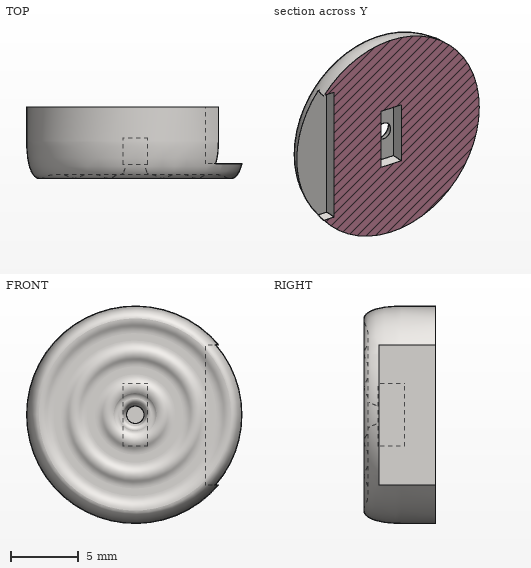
import cadquery as cq
import math

outer_radius = 8.0
body_depth = 5.27
seam_depth = 2.72

floor_depth = 0.29
floor_radius = 5.99
joint_depth = 0.14
rim_joint_radius = 6.55
rim_crest_radius = 7.07
rim_front_control = 7.38
rim_side_control = 0.5

outer_ripple = (5.44, 4.91, 4.07, 3.54)
inner_ripple = (2.95, 2.41, 1.57, 1.215)
ripple_crest_depth = 0.02

throat_radius = 0.82
throat_depth = 0.58
throat_bulge = (0.92, 0.38)
hole_radius = 0.64
hole_depth = 1.05
chamber_half_width = 0.9
chamber_half_height = 2.3
chamber_end_depth = 3.0

notch_half_height = 5.15
notch_start_depth = 1.1
notch_floor_x = 5.15


def hollow_middle(foot_radius, joint_radius):
    """Middle of the arc that leaves the flat floor tangentially and climbs to a joint."""
    run = joint_radius - foot_radius
    rise = floor_depth - joint_depth
    arc_radius = (run**2 + rise**2) / (2 * rise)
    half_angle = math.atan2(rise, abs(run))
    along = math.copysign(arc_radius * math.sin(half_angle), run)
    climb = arc_radius * (1 - math.cos(half_angle))
    return (foot_radius + along, floor_depth - climb)


def add_ripple(profile, ripple):
    """Continue the profile outward from a ripple's inner foot, over its crest, to its outer foot."""
    outer_foot, outer_joint, inner_joint, inner_foot = ripple
    crest = ((outer_joint + inner_joint) / 2, ripple_crest_depth)
    return (
        profile.threePointArc(hollow_middle(inner_foot, inner_joint), (inner_joint, joint_depth))
        .threePointArc(crest, (outer_joint, joint_depth))
        .threePointArc(hollow_middle(outer_foot, outer_joint), (outer_foot, floor_depth))
    )


def add_rim(profile):
    """Continue the profile from the floor over the rounded rim to the straight outer wall."""
    return (
        profile.lineTo(floor_radius, floor_depth)
        .threePointArc(hollow_middle(floor_radius, rim_joint_radius), (rim_joint_radius, joint_depth))
        .tangentArcPoint((rim_crest_radius, 0), relative=False)
        .bezier(
            [
                (rim_crest_radius, 0),
                (rim_front_control, 0),
                (outer_radius, rim_side_control),
                (outer_radius, seam_depth),
            ]
        )
    )


def make_body():
    """Revolve the half section, with the funnel at its centre."""
    profile = (
        cq.Workplane("XY")
        .moveTo(0, hole_depth)
        .lineTo(hole_radius, hole_depth)
        .lineTo(throat_radius, throat_depth)
        .threePointArc(throat_bulge, (inner_ripple[-1], floor_depth))
    )
    profile = add_ripple(profile, inner_ripple)
    profile = profile.lineTo(outer_ripple[-1], floor_depth)
    profile = add_ripple(profile, outer_ripple)
    profile = add_rim(profile)
    profile = profile.lineTo(outer_radius, body_depth).lineTo(0, body_depth).close()
    return profile.revolve(360, (0, 0, 0), (0, 1, 0))


def make_block(x_range, y_range, half_height):
    """A rectangular cutter, centred on Z = 0."""
    x_start, x_end = x_range
    y_start, y_end = y_range
    block = cq.Workplane("XY").box(
        x_end - x_start, y_end - y_start, 2 * half_height, centered=(False, False, True)
    )
    return block.translate((x_start, y_start, 0))


chamber = make_block(
    (-chamber_half_width, chamber_half_width), (hole_depth, chamber_end_depth), chamber_half_height
)
notch = make_block((notch_floor_x, outer_radius), (notch_start_depth, body_depth), notch_half_height)

result = make_body().cut(chamber).cut(notch)